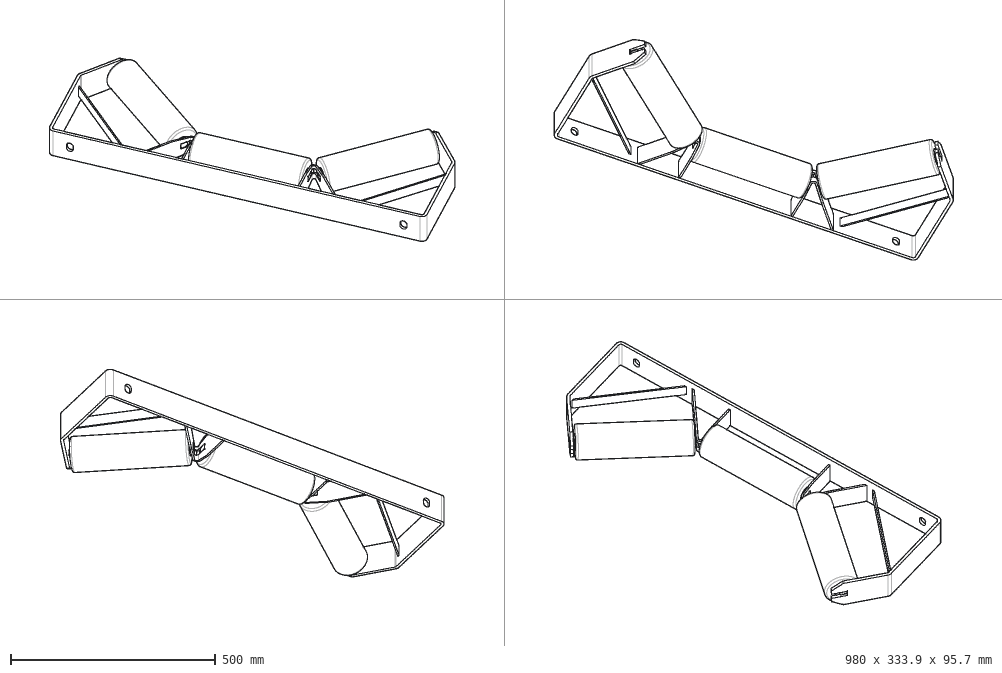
import cadquery as cq
import math

TILT = 40.0
UP = 90.0 - TILT
COS_TILT = math.cos(math.radians(TILT))
SIN_TILT = math.sin(math.radians(TILT))

FRAME_LENGTH = 980.0
FRAME_HEIGHT = 80.0
FRAME_THICKNESS = 8.0
FRAME_BEND = 14.0
WALL_TOP = 220.5
FRAME_DEPTH = 333.0
ARM_CHAMFER_ALONG = 29.0
ARM_CHAMFER_HIGH = 20.0
BOLT_SLOT_SPACING = 866.0
BOLT_SLOT_WIDTH = 18.0
BOLT_SLOT_HEIGHT = 25.0

ROLLER_DIAMETER = 89.0
ROLLER_LENGTH = 292.0
ROLLER_FILLET = 5.0
HUB_DIAMETER = 41.0
HUB_LENGTH = 3.0
SHAFT_DIAMETER = 20.0
SHAFT_LENGTH = 308.0
SHAFT_FLATS = 15.0
FLAT_CLEARANCE = 0.4
MIDDLE_AXIS_Y = 100.0
MIDDLE_AXIS_Z = 33.0
SIDE_CENTER_X = 293.0
SIDE_CENTER_Y = 208.0

BRACKET_THICKNESS = 5.0
BRACKET_BEND = 10.0
BRACKET_TOP = 128.0
BRACKET_FACE_X = 149.0
BRACKET_HEIGHT = 60.0
BRACKET_TAPER_START = 81.0
BRACKET_TAPER = 10.0

BRACE_THICKNESS = 4.0
BRACE_HEIGHT = 29.0
BRACE_FOOT_X = 282.0

HALF_LENGTH = FRAME_LENGTH / 2
WALL_FACE_X = HALF_LENGTH - FRAME_THICKNESS
SHAFT_SLOT = SHAFT_FLATS + 2 * FLAT_CLEARANCE
ARM_SLOT_Z = FRAME_HEIGHT / 2
SIDE_CENTER_Z = (MIDDLE_AXIS_Z + ARM_SLOT_Z) / 2
SIDE_SLOPE = math.asin((ARM_SLOT_Z - MIDDLE_AXIS_Z) / SHAFT_LENGTH)


def offset(point, angle, distance):
    """Point at a distance from another one, in a direction given in degrees."""
    turn = math.radians(angle)
    return (point[0] + distance * math.cos(turn), point[1] + distance * math.sin(turn))


def mirrored(body):
    """The same shape on the other side of the YZ plane."""
    return body.mirror("YZ")


def side_roller_plane():
    """Plane of the left side roller: X runs along its axis, rising towards the arm; Y runs along the arm."""
    level = math.cos(SIDE_SLOPE)
    axis = cq.Vector(-COS_TILT * level, SIN_TILT * level, math.sin(SIDE_SLOPE))
    along_arm = cq.Vector(SIN_TILT, COS_TILT, 0)
    return cq.Plane((-SIDE_CENTER_X, SIDE_CENTER_Y, SIDE_CENTER_Z), axis, axis.cross(along_arm))


def slot_cutter(seat, angle, length, depth, z):
    """Open slot cutter that starts one shaft radius below the seat and runs along the given direction."""
    start = offset(seat, angle, -SHAFT_DIAMETER / 2)
    return (cq.Workplane("XY").box(length, depth, SHAFT_SLOT, centered=(False, True, True))
            .rotate((0, 0, 0), (0, 0, 1), angle).translate((*start, z)))


def make_frame():
    wall_corner = (-HALF_LENGTH, WALL_TOP)
    arm_length = (FRAME_DEPTH - WALL_TOP) / math.sin(math.radians(UP))
    arm_tip = offset(wall_corner, UP, arm_length)
    inner_tip = offset(arm_tip, UP - 90, FRAME_THICKNESS)
    inner_corner = (-WALL_FACE_X, WALL_TOP - FRAME_THICKNESS * math.tan(math.radians(TILT / 2)))
    left = [(0, 0), (-HALF_LENGTH, 0), wall_corner, arm_tip, inner_tip, inner_corner,
            (-WALL_FACE_X, FRAME_THICKNESS), (0, FRAME_THICKNESS)]
    half = cq.Workplane("XY").polyline(left).close().extrude(FRAME_HEIGHT)

    for corner in ((-HALF_LENGTH, 0), wall_corner):
        half = half.edges(cq.NearestToPointSelector((*corner, FRAME_HEIGHT / 2))).fillet(FRAME_BEND)
    for corner in (inner_corner, (-WALL_FACE_X, FRAME_THICKNESS)):
        half = (half.edges(cq.NearestToPointSelector((*corner, FRAME_HEIGHT / 2)))
                .fillet(FRAME_BEND - FRAME_THICKNESS))

    arm_plane = cq.Plane((*arm_tip, 0), (SIN_TILT, COS_TILT, 0), (COS_TILT, -SIN_TILT, 0))
    for edge, inward in ((0, 1), (FRAME_HEIGHT, -1)):
        corner = (cq.Workplane(arm_plane)
                  .polyline([(0, edge), (-ARM_CHAMFER_ALONG, edge), (0, edge + inward * ARM_CHAMFER_HIGH)]).close()
                  .extrude(2 * FRAME_THICKNESS, both=True))
        half = half.cut(corner)

    seat = offset((-SIDE_CENTER_X, SIDE_CENTER_Y), 180 - TILT, SHAFT_LENGTH / 2)
    half = half.cut(slot_cutter(seat, UP, arm_length, 3 * FRAME_THICKNESS, ARM_SLOT_Z))

    bolt_slot = (cq.Workplane("XZ").center(-BOLT_SLOT_SPACING / 2, FRAME_HEIGHT / 2)
                 .slot2D(BOLT_SLOT_HEIGHT, BOLT_SLOT_WIDTH, 90)
                 .extrude(FRAME_THICKNESS, both=True))
    half = half.cut(bolt_slot)
    return half.union(mirrored(half))


def make_roller(plane):
    """Roller with its shaft, centred on the plane's origin along the plane's X axis."""
    half_length = ROLLER_LENGTH / 2
    roller = (cq.Workplane("XZ")
              .polyline([(-half_length, 0), (-half_length, ROLLER_DIAMETER / 2),
                         (half_length, ROLLER_DIAMETER / 2), (half_length, 0)]).close()
              .revolve(360, (0, 0), (1, 0))
              .faces("<X or >X").edges().fillet(ROLLER_FILLET))
    hub_length = ROLLER_LENGTH + 2 * HUB_LENGTH
    hub = cq.Workplane("YZ").circle(HUB_DIAMETER / 2).extrude(hub_length / 2, both=True)
    shaft = cq.Workplane("YZ").circle(SHAFT_DIAMETER / 2).extrude(SHAFT_LENGTH / 2, both=True)
    shaft = shaft.intersect(cq.Workplane("XY").box(SHAFT_LENGTH, SHAFT_DIAMETER, SHAFT_FLATS))
    body = roller.union(hub).union(shaft)
    return cq.Workplane(body.val().moved(cq.Location(plane)))


def make_bracket():
    """Left bracket: a straight leg beside the middle roller and a slanted leg under the side roller."""
    fold = (-BRACKET_FACE_X - BRACKET_BEND, BRACKET_TOP - BRACKET_BEND)
    inner_bend = BRACKET_BEND - BRACKET_THICKNESS

    def slanted_foot(radius):
        tangent = offset(fold, 180 - TILT, radius)
        return (tangent[0] - (tangent[1] - FRAME_THICKNESS) * math.tan(math.radians(TILT)), FRAME_THICKNESS)

    middle = 90 - TILT / 2
    bracket = (cq.Workplane("XY")
               .moveTo(-BRACKET_FACE_X, FRAME_THICKNESS)
               .lineTo(-BRACKET_FACE_X, fold[1])
               .threePointArc(offset(fold, middle, BRACKET_BEND), offset(fold, 180 - TILT, BRACKET_BEND))
               .lineTo(*slanted_foot(BRACKET_BEND))
               .lineTo(*slanted_foot(inner_bend))
               .lineTo(*offset(fold, 180 - TILT, inner_bend))
               .threePointArc(offset(fold, middle, inner_bend), offset(fold, 0, inner_bend))
               .lineTo(-BRACKET_FACE_X - BRACKET_THICKNESS, FRAME_THICKNESS)
               .close().extrude(BRACKET_HEIGHT))

    outline = (cq.Workplane("YZ")
               .polyline([(0, 0), (BRACKET_TAPER_START, 0), (BRACKET_TOP, BRACKET_TAPER),
                          (BRACKET_TOP, BRACKET_HEIGHT - BRACKET_TAPER),
                          (BRACKET_TAPER_START, BRACKET_HEIGHT), (0, BRACKET_HEIGHT)]).close()
               .extrude(-HALF_LENGTH))
    bracket = bracket.intersect(outline)

    length = BRACKET_TOP
    depth = 2 * BRACKET_THICKNESS
    seat = (-BRACKET_FACE_X - BRACKET_THICKNESS / 2, MIDDLE_AXIS_Y)
    side_seat = offset((-SIDE_CENTER_X, SIDE_CENTER_Y), -TILT, SHAFT_LENGTH / 2)
    bracket = bracket.cut(slot_cutter(seat, 90, length, depth, MIDDLE_AXIS_Z))
    return bracket.cut(slot_cutter(side_seat, UP, length, depth, MIDDLE_AXIS_Z))


def make_brace():
    """Left brace: a flat strip at 45 degrees from the frame base to the frame wall."""
    width = BRACE_THICKNESS * math.sqrt(2)
    rise = WALL_FACE_X - BRACE_FOOT_X
    top = FRAME_THICKNESS + rise
    return (cq.Workplane("XY", origin=(0, 0, (FRAME_HEIGHT - BRACE_HEIGHT) / 2))
            .polyline([(-BRACE_FOOT_X, FRAME_THICKNESS), (-WALL_FACE_X, top),
                       (-WALL_FACE_X, top - width), (-BRACE_FOOT_X - width, FRAME_THICKNESS)]).close()
            .extrude(BRACE_HEIGHT))


frame = make_frame()
middle_roller = make_roller(cq.Plane((0, MIDDLE_AXIS_Y, MIDDLE_AXIS_Z)))
left_roller = make_roller(side_roller_plane())

bodies = [frame.solids().val(), middle_roller.solids().val()]
for left_body in (left_roller, make_bracket(), make_brace()):
    for body in (left_body, mirrored(left_body)):
        bodies.append(body.solids().val())

result = cq.Compound.makeCompound(bodies)